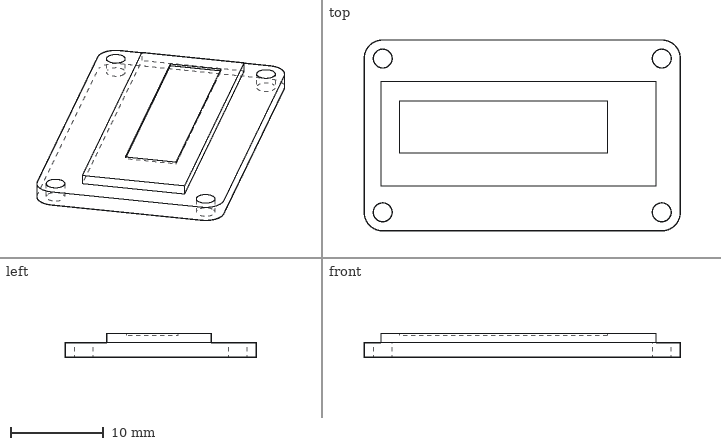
import cadquery as cq

board_length = 34.05
board_width = 20.55
board_thickness = 1.6
corner_radius = 2.0
hole_diameter = 2.0

panel_length = 29.6
panel_width = 11.27
panel_height = 1.0
panel_left_margin = 1.8
panel_back_margin = 4.45

window_length = 22.35
window_width = 5.58
window_depth = 0.2
window_left_margin = 2.0
window_back_margin = 2.1

panel_left = -board_length / 2 + panel_left_margin
panel_back = board_width / 2 - panel_back_margin
window_left = panel_left + window_left_margin
window_back = panel_back - window_back_margin
panel_top = board_thickness + panel_height


def block_from_back_left(left, back, bottom, length, width, height):
    """Box placed by its left, back and bottom faces."""
    return cq.Workplane("XY").box(length, width, height, centered=False).translate(
        (left, back - width, bottom)
    )


def make_board():
    """Rounded plate with a mounting hole concentric with each corner."""
    plate = cq.Workplane("XY").box(
        board_length, board_width, board_thickness, centered=(True, True, False)
    )
    plate = plate.edges("|Z").fillet(corner_radius)
    hole_spacing_x = board_length - 2 * corner_radius
    hole_spacing_y = board_width - 2 * corner_radius
    return (
        plate.faces(">Z")
        .workplane()
        .rect(hole_spacing_x, hole_spacing_y, forConstruction=True)
        .vertices()
        .hole(hole_diameter)
    )


panel = block_from_back_left(
    panel_left, panel_back, board_thickness, panel_length, panel_width, panel_height
)
window = block_from_back_left(
    window_left, window_back, panel_top - window_depth, window_length, window_width, window_depth
)

result = make_board().union(panel).cut(window)